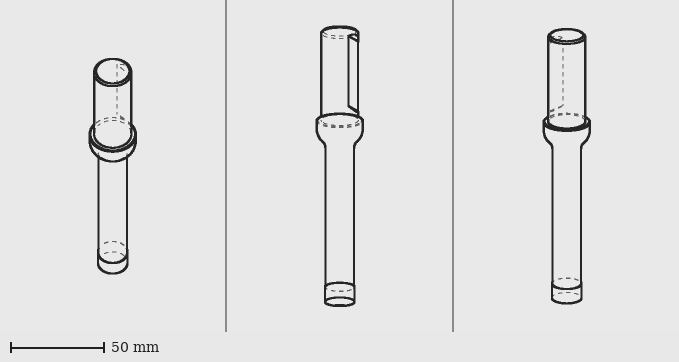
import cadquery as cq
import math

shoulder_height = 2.2
point_height = 1.4
tip_top = 10.5
neck_top = 88.7
collar_flare_top = 99.2
collar_top = 104.2
shank_top = 154.2

tip_radius = 16.0 / 2
point_radius = 7.5 / 2
neck_radius = 15.5 / 2
collar_radius = 25.0 / 2
shank_radius = 20.0 / 2

shank_chamfer = 1.1
collar_chamfer = 0.5

convex_share = 0.58

flat_depth = 1.9
flat_bottom = 107.6
flat_top = 150.7


def arc_from_vertical(start, end):
    """Return the middle point of the arc that leaves start vertically and reaches end."""
    radial = end[0] - start[0]
    axial = end[1] - start[1]
    chord = math.hypot(radial, axial)
    tilt = math.atan2(abs(radial), abs(axial))
    bulge = chord / 2 * math.tan(tilt / 2)
    middle_radius = (start[0] + end[0]) / 2 - math.copysign(bulge * math.cos(tilt), radial)
    middle_height = (start[1] + end[1]) / 2 + math.copysign(bulge * math.sin(tilt), axial)
    return middle_radius, middle_height


def make_holder():
    """Turned neck, flared collar and shank with its clamping flat."""
    flare_start = (neck_radius, neck_top)
    flare_end = (collar_radius, collar_flare_top)
    inflection = (
        collar_radius - convex_share * (collar_radius - neck_radius),
        collar_flare_top - convex_share * (collar_flare_top - neck_top),
    )
    turned = (
        cq.Workplane("XZ")
        .moveTo(0, tip_top)
        .lineTo(neck_radius, tip_top)
        .lineTo(*flare_start)
        .threePointArc(arc_from_vertical(flare_start, inflection), inflection)
        .threePointArc(arc_from_vertical(flare_end, inflection), flare_end)
        .lineTo(collar_radius, collar_top - collar_chamfer)
        .lineTo(collar_radius - collar_chamfer, collar_top)
        .lineTo(shank_radius, collar_top)
        .lineTo(shank_radius, shank_top - shank_chamfer)
        .lineTo(shank_radius - shank_chamfer, shank_top)
        .lineTo(0, shank_top)
        .close()
        .revolve(360, (0, 0, 0), (0, 1, 0))
    )
    return turned.cut(make_flat_cutter())


def make_flat_cutter():
    """Prism along X that removes the clamping flat and its sloped ends."""
    return (
        cq.Workplane("YZ")
        .moveTo(shank_radius, flat_bottom)
        .lineTo(shank_radius - flat_depth, flat_bottom + flat_depth)
        .lineTo(shank_radius - flat_depth, flat_top - flat_depth)
        .lineTo(shank_radius, flat_top)
        .close()
        .extrude(shank_radius, both=True)
    )


def make_drill_tip():
    """Short cylinder under the neck, ending in a shallow cone with a steeper central point."""
    return (
        cq.Workplane("XZ")
        .lineTo(point_radius, point_height)
        .lineTo(tip_radius, shoulder_height)
        .lineTo(tip_radius, tip_top)
        .lineTo(0, tip_top)
        .close()
        .revolve(360, (0, 0, 0), (0, 1, 0))
    )


holder = make_holder()
drill_tip = make_drill_tip()

result = cq.Compound.makeCompound([holder.val(), drill_tip.val()])